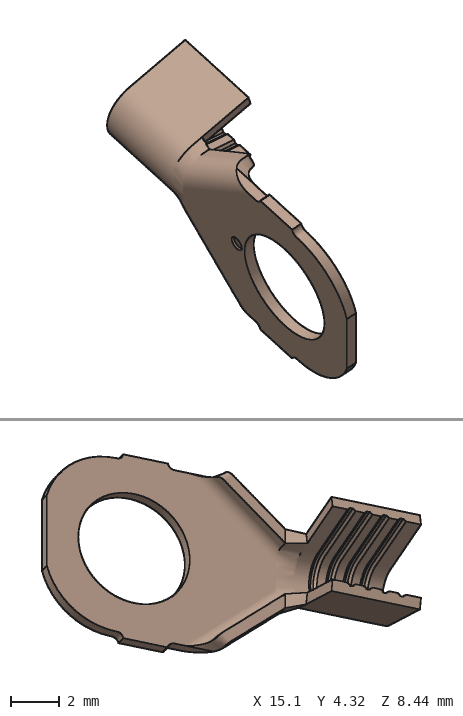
import cadquery as cq
import math

sheet = 0.5
total_length = 15.06

ring_half_width = 3.98
ring_hole_x = 11.15
ring_hole_radius = 2.5
head_arc_start_x = 12.02
head_arc_middle = (13.98, 3.27)
tip_half_width = 1.63
tab_half_width = 4.22
tab_start_x = 9.62
tab_end_x = 11.63
tab_flare_radius = 0.3
tab_rise = tab_half_width - ring_half_width
tab_flare = math.sqrt(tab_flare_radius ** 2 - (tab_flare_radius - tab_rise) ** 2)
dimple_x = 8.15
dimple_radius = 0.32
dimple_depth = 0.12

barrel_length = 3.98
barrel_outer_radius = 1.54
barrel_inner_radius = barrel_outer_radius - sheet
arm_lean = 12.4
barrel_arc = 90 - arm_lean
barrel_height = 4.32
arm_length = (
    barrel_height - barrel_outer_radius + barrel_inner_radius * math.sin(math.radians(arm_lean))
) / math.cos(math.radians(arm_lean))

groove_count = 4
groove_pitch = 0.75
groove_top_width = 0.36
groove_floor_width = 0.12
groove_depth = 0.1

neck_end_x = 4.77
neck_half_flat = 0.51
flange_angle = 40.0
flange_outer_radius = 2 * sheet
flange_inner_radius = flange_outer_radius - sheet
flange_height = 1.42
flange_corner_radius = 0.27
flange_cos = math.cos(math.radians(flange_angle))
flange_sin = math.sin(math.radians(flange_angle))
bend_line_length = (ring_half_width - neck_half_flat) / flange_sin
bend_end_x = neck_end_x + bend_line_length * flange_cos

neck_arm_length = 0.53
neck_flat_arc = 31.0


def barrel_point(radius, angle):
    """(Y, Z) point on a barrel arc, the angle in degrees from the bottom of the U."""
    turn = math.radians(angle)
    return barrel_outer_radius - radius * math.cos(turn), radius * math.sin(turn)


def arm_point(radius, distance):
    """(Y, Z) point on an arm face, a distance past the end of its barrel arc."""
    y, z = barrel_point(radius, barrel_arc)
    lean = math.radians(arm_lean)
    return y + distance * math.cos(lean), z + distance * math.sin(lean)


def draw_barrel_arc(sketch, radius, start, end):
    middle = barrel_point(radius, (start + end) / 2)
    return sketch.threePointArc(middle, barrel_point(radius, end))


def draw_half_u(x, straight, split):
    """Half of the U section at x; each arc is drawn in two pieces that meet at split."""
    sketch = cq.Workplane("YZ", origin=(x, 0, 0)).moveTo(*barrel_point(barrel_outer_radius, 0))
    sketch = draw_barrel_arc(sketch, barrel_outer_radius, 0, split)
    sketch = draw_barrel_arc(sketch, barrel_outer_radius, split, barrel_arc)
    sketch = sketch.lineTo(*arm_point(barrel_outer_radius, straight))
    sketch = sketch.lineTo(*arm_point(barrel_inner_radius, straight))
    sketch = sketch.lineTo(*barrel_point(barrel_inner_radius, barrel_arc))
    sketch = draw_barrel_arc(sketch, barrel_inner_radius, barrel_arc, split)
    sketch = draw_barrel_arc(sketch, barrel_inner_radius, split, 0)
    return sketch.close()


def draw_half_channel(x):
    """Half of the section through plate and flange at x; the slanted bends are ellipses."""
    outer_z = neck_half_flat + flange_outer_radius / flange_cos
    inner_z = neck_half_flat + flange_inner_radius / flange_cos
    return (
        cq.Workplane("YZ", origin=(x, 0, 0))
        .lineTo(0, neck_half_flat)
        .ellipseArc(flange_outer_radius, flange_outer_radius / flange_cos, 90, 180, sense=-1)
        .lineTo(flange_height, outer_z)
        .lineTo(flange_height, inner_z)
        .lineTo(flange_outer_radius, inner_z)
        .ellipseArc(flange_inner_radius, flange_inner_radius / flange_cos, 90, 180)
        .lineTo(sheet, 0)
        .close()
    )


def make_groove(middle_x):
    """Tapered groove that follows the inner face around the arc and up the arm."""
    outline = [
        (middle_x - groove_top_width / 2, sheet),
        (middle_x - groove_floor_width / 2, sheet - groove_depth),
        (middle_x + groove_floor_width / 2, sheet - groove_depth),
        (middle_x + groove_top_width / 2, sheet),
    ]
    axis_start = (0, barrel_outer_radius, 0)
    axis_end = (-1, barrel_outer_radius, 0)
    around_arc = cq.Workplane("XY").polyline(outline).close().revolve(barrel_arc, axis_start, axis_end)
    up_arm = cq.Workplane("XY").polyline(outline).close().extrude(arm_length)
    up_arm = up_arm.rotate(axis_start, axis_end, barrel_arc)
    return around_arc.union(up_arm)


def make_barrel():
    barrel = draw_half_u(0, arm_length, neck_flat_arc).extrude(barrel_length)
    for index in range(groove_count):
        steps_from_middle = index - (groove_count - 1) / 2
        barrel = barrel.cut(make_groove(barrel_length / 2 + steps_from_middle * groove_pitch))
    return barrel


def make_neck():
    start = draw_half_u(barrel_length, neck_arm_length, neck_flat_arc).wires().val()
    end = draw_half_channel(neck_end_x).wires().val()
    return cq.Workplane(cq.Solid.makeLoft([start, end], True))


def make_plate():
    plate = (
        cq.Workplane("XZ")
        .moveTo(neck_end_x, 0)
        .lineTo(neck_end_x, neck_half_flat)
        .lineTo(bend_end_x, ring_half_width)
        .lineTo(tab_start_x - tab_flare, ring_half_width)
        .radiusArc((tab_start_x, tab_half_width), -tab_flare_radius)
        .lineTo(tab_end_x, tab_half_width)
        .radiusArc((tab_end_x + tab_flare, ring_half_width), -tab_flare_radius)
        .lineTo(head_arc_start_x, ring_half_width)
        .threePointArc(head_arc_middle, (total_length, tip_half_width))
        .lineTo(total_length, 0)
        .close()
        .extrude(-sheet)
    )
    hole = cq.Workplane("XZ").center(ring_hole_x, 0).circle(ring_hole_radius).extrude(-sheet)
    dimple = cq.Workplane("XZ").center(dimple_x, 0).circle(dimple_radius).extrude(-dimple_depth)
    return plate.cut(hole).cut(dimple)


def make_flange_end_cutter():
    """Turns the end of the flange from flush with the plate side to square with its wall."""
    pivot_x = bend_end_x - flange_outer_radius / flange_sin
    plane = cq.Plane((pivot_x, sheet, ring_half_width), xDir=(1, 0, 0), normal=(0, 1, 0))
    width = 2 * flange_height
    return (
        cq.Workplane(plane)
        .rect(width, -width, centered=(True, False))
        .twistExtrude(flange_height - sheet, 90 - flange_angle)
    )


def make_flange():
    """Flange bent up along the slanted line, trimmed at the neck and at the plate side."""
    bend_line = cq.Vector(flange_cos, 0, flange_sin)
    lead = flange_height
    bend_start = cq.Vector(neck_end_x, 0, neck_half_flat)
    section = cq.Plane(bend_start - bend_line * lead, xDir=(0, 1, 0), normal=bend_line)
    outer_45 = flange_outer_radius * math.sqrt(0.5)
    inner_45 = flange_inner_radius * math.sqrt(0.5)
    block = (
        cq.Workplane(section)
        .threePointArc(
            (flange_outer_radius - outer_45, outer_45),
            (flange_outer_radius, flange_outer_radius),
        )
        .lineTo(flange_height, flange_outer_radius)
        .lineTo(flange_height, flange_inner_radius)
        .lineTo(flange_outer_radius, flange_inner_radius)
        .threePointArc((flange_outer_radius - inner_45, inner_45), (sheet, 0))
        .close()
        .extrude(bend_line_length + 2 * lead)
    )
    block = block.intersect(cq.Workplane().box(2 * total_length, total_length, 2 * ring_half_width))
    lead_in = cq.Workplane().box(2 * neck_end_x, total_length, total_length)

    block = block.cut(make_flange_end_cutter())
    block = block.edges(">Y").edges(">X").fillet(flange_corner_radius)
    return block.cut(lead_in)


half = make_barrel().union(make_neck()).union(make_plate()).union(make_flange())
result = half.mirror("XY", union=True).clean()